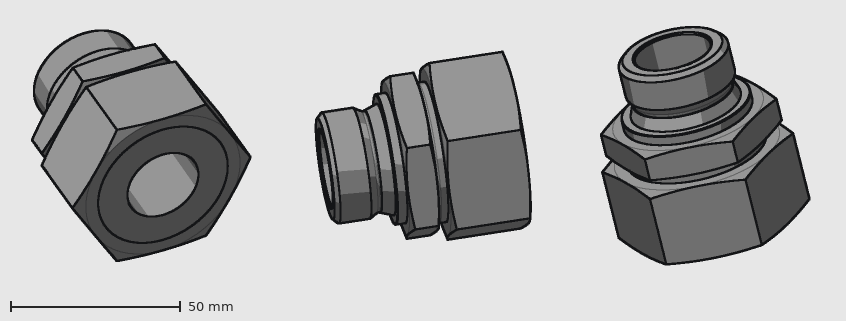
import cadquery as cq
import math


seal_front_x = 14.2
collar_front_x = 18.0
body_hex_front_x = 21.0
body_hex_back_x = 30.0
nut_front_x = 33.0
nut_back_x = 57.0

thread_radius = 33.25 / 2
thread_chamfer = 1.5
thread_end_x = 10.75
relief_radius = 15.15
relief_angle = math.radians(30)
relief_fillet = 1.5
collar_radius = 19.5
collar_chamfer = 0.2

bore_radius = 11.5
bore_chamfer = 0.5

spigot_radius = 21.0
spigot_fillet = 1.0

seal_tip_radius = 15.3
seal_base_radius = 16.7

body_hex_flats = 46.0
nut_hex_flats = 50.0
hex_chamfer_angle = math.radians(15)
body_hex_land_radius = 22.8
nut_hex_land_radius = nut_hex_flats / 2


def revolve_about_x(profile):
    """Turn a closed profile of (x, radius) about the X axis."""
    return profile.close().revolve(360, (0, 0, 0), (1, 0, 0))


def chamfered_hex(front_x, back_x, flats, land_radius):
    """Hexagonal prism along X, flats facing +Z and -Z, corners turned off conically at both ends."""
    corner_radius = flats / math.sqrt(3)
    prism = (
        cq.Workplane("YZ", origin=(front_x, 0, 0))
        .polygon(6, 2 * corner_radius)
        .extrude(back_x - front_x)
    )
    chamfer_length = (corner_radius - land_radius) * math.tan(hex_chamfer_angle)
    envelope = revolve_about_x(
        cq.Workplane("XY")
        .moveTo(front_x, 0)
        .lineTo(front_x, land_radius)
        .lineTo(front_x + chamfer_length, corner_radius)
        .lineTo(back_x - chamfer_length, corner_radius)
        .lineTo(back_x, land_radius)
        .lineTo(back_x, 0)
    )
    return prism.intersect(envelope)


def make_stud_end():
    """Threaded end with its relief groove and the sealing collar, up to the body hexagon."""
    blend_rise = relief_fillet * (1 - math.cos(relief_angle))
    blend_start_x = thread_end_x + (thread_radius - relief_radius - blend_rise) / math.tan(relief_angle)
    blend_end_x = blend_start_x + relief_fillet * math.sin(relief_angle)
    half_angle = relief_angle / 2
    blend_mid = (
        blend_end_x - relief_fillet * math.sin(half_angle),
        relief_radius + relief_fillet * (1 - math.cos(half_angle)),
    )
    return revolve_about_x(
        cq.Workplane("XY")
        .moveTo(0, 0)
        .lineTo(0, thread_radius - thread_chamfer)
        .lineTo(thread_chamfer, thread_radius)
        .lineTo(thread_end_x, thread_radius)
        .lineTo(blend_start_x, relief_radius + blend_rise)
        .threePointArc(blend_mid, (blend_end_x, relief_radius))
        .lineTo(collar_front_x, relief_radius)
        .lineTo(collar_front_x, collar_radius - collar_chamfer)
        .lineTo(collar_front_x + collar_chamfer, collar_radius)
        .lineTo(body_hex_front_x, collar_radius)
        .lineTo(body_hex_front_x, 0)
    )


def make_spigot():
    """Round spigot behind the hexagon, filleted into it and running through the nut."""
    fillet_end_x = body_hex_back_x + spigot_fillet
    fillet_centre_radius = spigot_radius + spigot_fillet
    fillet_mid_offset = spigot_fillet * math.sqrt(0.5)
    return revolve_about_x(
        cq.Workplane("XY")
        .moveTo(body_hex_back_x, 0)
        .lineTo(body_hex_back_x, fillet_centre_radius)
        .threePointArc(
            (fillet_end_x - fillet_mid_offset, fillet_centre_radius - fillet_mid_offset),
            (fillet_end_x, spigot_radius),
        )
        .lineTo(nut_back_x, spigot_radius)
        .lineTo(nut_back_x, 0)
    )


def make_bore():
    """Through bore with a chamfered mouth at the stud end."""
    return revolve_about_x(
        cq.Workplane("XY")
        .moveTo(0, 0)
        .lineTo(0, bore_radius + bore_chamfer)
        .lineTo(bore_chamfer, bore_radius)
        .lineTo(nut_back_x, bore_radius)
        .lineTo(nut_back_x, 0)
    )


def make_fitting_body():
    hexagon = chamfered_hex(body_hex_front_x, body_hex_back_x, body_hex_flats, body_hex_land_radius)
    return make_stud_end().union(hexagon).union(make_spigot()).cut(make_bore())


def make_seal():
    return revolve_about_x(
        cq.Workplane("XY")
        .moveTo(seal_front_x, relief_radius)
        .lineTo(seal_front_x, seal_tip_radius)
        .lineTo(collar_front_x, seal_base_radius)
        .lineTo(collar_front_x, relief_radius)
    )


def make_nut():
    hexagon = chamfered_hex(nut_front_x, nut_back_x, nut_hex_flats, nut_hex_land_radius)
    hole = (
        cq.Workplane("YZ", origin=(nut_front_x, 0, 0))
        .circle(spigot_radius)
        .extrude(nut_back_x - nut_front_x)
    )
    return hexagon.cut(hole)


fitting_body = make_fitting_body()
seal = make_seal()
nut = make_nut()

result = cq.Compound.makeCompound([fitting_body.val(), seal.val(), nut.val()])